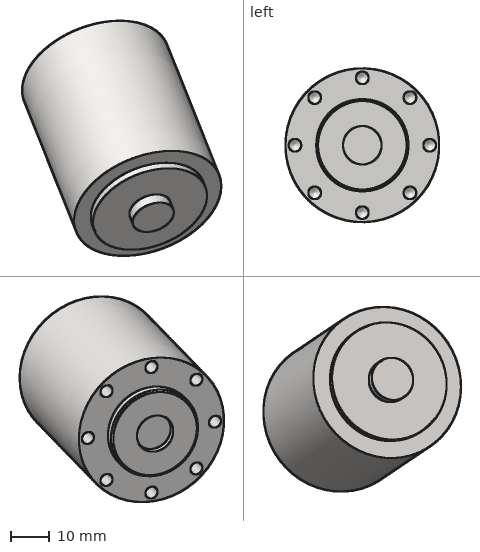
import cadquery as cq
import math

total_length = 54.0

body_diameter = 40.0
front_cap_length = 11.2
middle_length = 28.0
rear_cap_length = 7.1
body_length = front_cap_length + middle_length + rear_cap_length

pilot_diameter = 24.0
pilot_length = 2.8
pilot_chamfer = 0.5
bore_diameter = 10.0
bore_depth = 2.0

collar_diameter = 31.0
collar_length = 2.0
stub_diameter = 11.2
stub_length = total_length - pilot_length - body_length - collar_length

bolt_count = 8
bolt_circle_diameter = 35.0
bolt_hole_diameter = 3.3
bolt_hole_depth = 8.0
drill_tip_angle = 118.0


def disc(start, length, diameter):
    """Cylinder along +X beginning at X = start."""
    return cq.Workplane("YZ").workplane(offset=start).circle(diameter / 2).extrude(length)


def bolt_hole(angle):
    """Drilled hole with a conical bottom, turned about X from the +Z position."""
    radius = bolt_hole_diameter / 2
    tip_length = radius / math.tan(math.radians(drill_tip_angle / 2))
    half_section = [
        (0, 0),
        (0, radius),
        (bolt_hole_depth, radius),
        (bolt_hole_depth + tip_length, 0),
    ]
    drill = cq.Workplane("XY").polyline(half_section).close().revolve(360, (0, 0, 0), (1, 0, 0))
    return drill.translate((0, 0, bolt_circle_diameter / 2)).rotate((0, 0, 0), (1, 0, 0), angle)


part = disc(-pilot_length, pilot_length, pilot_diameter).faces("<X").chamfer(pilot_chamfer)

sections = [
    (front_cap_length, body_diameter),
    (middle_length, body_diameter),
    (rear_cap_length, body_diameter),
    (collar_length, collar_diameter),
    (stub_length, stub_diameter),
]
section_start = 0
for section_length, section_diameter in sections:
    section = disc(section_start, section_length, section_diameter)
    part = part.union(section, clean=False)
    section_start += section_length

part = part.cut(disc(-pilot_length, bore_depth, bore_diameter), clean=False)

for index in range(bolt_count):
    part = part.cut(bolt_hole(index * 360 / bolt_count), clean=False)

result = part